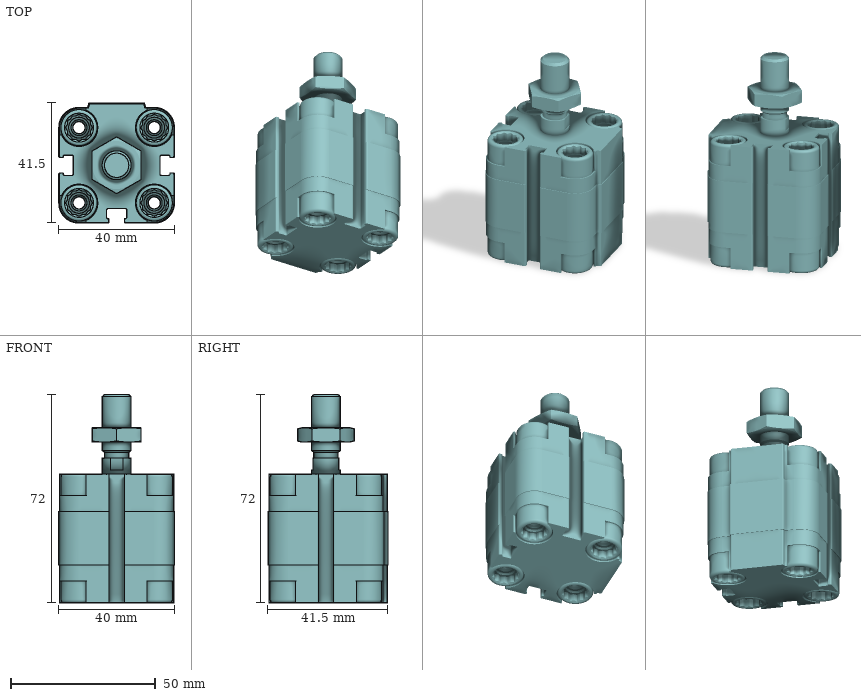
import cadquery as cq
import math

BODY_HEIGHT = 44.5
CAP_HEIGHT = 13.0
BARREL_HALF_WIDTH = 20.0
CAP_STEP = 0.25
SCREW_OFFSET = 13.0

PAD_HEIGHT = 1.5
PAD_TOP_HALF_WIDTH = 9.6
PAD_BASE_HALF_WIDTH = 10.0
PAD_FILLET = 0.3

SLOT_FLOOR = 15.0
SLOT_LIP_BACK = 18.4
SLOT_WIDTH = 6.9
SLOT_NECK_WIDTH = 5.3
SLOT_MOUTH_RADIUS = 0.5
SLOT_LIP_RADIUS = 0.3
SLOT_CORNER_RADIUS = 0.4
SLOT_TURNS = (-90, 90, 180)

RECESS_DEPTH = 7.5
RECESS_DIAMETER = 13.0
RECESS_CORNER_OFFSET = 2.5
HEAD_DIAMETER = 12.5
HEAD_FILLET = 1.0
SOCKET_WIDTH = 8.1
SOCKET_DEPTH = 3.2
SOCKET_LEAD_DIAMETER = 10.0
SOCKET_LEAD_ANGLE = 30.0
FLOOR_DIAMETER = 7.2
FLOOR_DEPTH = 4.15
THREAD_DIAMETER = 4.13
THREAD_LEAD_DIAMETER = 5.5

ROD_DIAMETER = 10.0
ROD_PROJECTION = 27.5
ROD_INSERTION = CAP_HEIGHT
ROD_CHAMFER = 0.8
SHOULDER_HEIGHT = 5.5
UNDERCUT_TOP = 7.5
THREAD_START = 8.1
UNDERCUT_DIAMETER = 8.47
FLAT_WIDTH = 9.0
FLAT_START = 1.4

NUT_WIDTH = 17.0
NUT_HEIGHT = 5.0
NUT_START = 11.0
NUT_CHAMFER_DIAMETER = 16.6
NUT_CHAMFER_ANGLE = 15.0

HEX_CORNER_RATIO = 1 / math.cos(math.radians(30))


def hexagon_prism(width, height, turn):
    """Hexagonal prism of the given width across flats, standing on Z = 0, turned about Z."""
    prism = cq.Workplane("XY").polygon(6, width * HEX_CORNER_RATIO).extrude(height)
    return prism.rotate((0, 0, 0), (0, 0, 1), turn)


def slot_cutter(half_width, height):
    """T-slot on the +Y side with rounded mouth edges and corners."""
    neck = SLOT_NECK_WIDTH / 2
    wide = SLOT_WIDTH / 2
    mouth = SLOT_MOUTH_RADIUS
    lip = SLOT_LIP_RADIUS
    corner = SLOT_CORNER_RADIUS
    half = (
        cq.Workplane("XY")
        .moveTo(0, half_width)
        .lineTo(neck + mouth, half_width)
        .radiusArc((neck, half_width - mouth), -mouth)
        .lineTo(neck, SLOT_LIP_BACK + lip)
        .radiusArc((neck + lip, SLOT_LIP_BACK), -lip)
        .lineTo(wide - corner, SLOT_LIP_BACK)
        .radiusArc((wide, SLOT_LIP_BACK - corner), corner)
        .lineTo(wide, SLOT_FLOOR + corner)
        .radiusArc((wide - corner, SLOT_FLOOR), corner)
        .lineTo(0, SLOT_FLOOR)
        .mirrorY()
    )
    return half.extrude(height)


def housing_section(half_width, bottom, height):
    """Length of the housing profile: rounded square, pad on +Y, three T-slots."""
    section = (
        cq.Workplane("XY")
        .rect(2 * half_width, 2 * half_width)
        .extrude(height)
        .edges("|Z")
        .fillet(half_width - SCREW_OFFSET)
    )
    inset = BARREL_HALF_WIDTH - half_width
    pad_top = half_width + PAD_HEIGHT
    pad = (
        cq.Workplane("XY")
        .polyline([
            (-PAD_BASE_HALF_WIDTH + inset, SLOT_FLOOR),
            (-PAD_BASE_HALF_WIDTH + inset, half_width),
            (-PAD_TOP_HALF_WIDTH + inset, pad_top),
            (PAD_TOP_HALF_WIDTH - inset, pad_top),
            (PAD_BASE_HALF_WIDTH - inset, half_width),
            (PAD_BASE_HALF_WIDTH - inset, SLOT_FLOOR),
        ])
        .close()
        .extrude(height)
    )
    section = section.union(pad)
    pad_flank_box = cq.selectors.BoxSelector(
        (-PAD_BASE_HALF_WIDTH, half_width - PAD_FILLET, 0),
        (PAD_BASE_HALF_WIDTH, pad_top + PAD_FILLET, height),
    )
    section = section.edges(pad_flank_box).edges("|Z").fillet(PAD_FILLET)
    for turn in SLOT_TURNS:
        section = section.cut(slot_cutter(half_width, height).rotate((0, 0, 0), (0, 0, 1), turn))
    return section.translate((0, 0, bottom))


def corner_recess():
    """Recess at the +X +Y corner of the top end, open to the outside."""
    bottom = BODY_HEIGHT - RECESS_DEPTH
    bore = cq.Workplane("XY").circle(RECESS_DIAMETER / 2).extrude(RECESS_DEPTH)
    corner = (
        cq.Workplane("XY")
        .rect(RECESS_DIAMETER, RECESS_DIAMETER, centered=False)
        .extrude(RECESS_DEPTH)
        .translate((-RECESS_CORNER_OFFSET, -RECESS_CORNER_OFFSET, 0))
    )
    return bore.union(corner).translate((SCREW_OFFSET, SCREW_OFFSET, bottom))


def screw_socket():
    """Twelve-point socket with lead-in cone, round floor and countersink, opening at Z = 0."""
    points = hexagon_prism(SOCKET_WIDTH, SOCKET_DEPTH, 0)
    points = points.union(hexagon_prism(SOCKET_WIDTH, SOCKET_DEPTH, 30))
    lead_radius = SOCKET_LEAD_DIAMETER / 2
    lead_depth = lead_radius * math.tan(math.radians(SOCKET_LEAD_ANGLE))
    lead = cq.Workplane(cq.Solid.makeCone(0, lead_radius, lead_depth)).translate((0, 0, -lead_depth))
    floor = cq.Workplane("XY").circle(FLOOR_DIAMETER / 2).extrude(-FLOOR_DEPTH)
    sink_depth = (THREAD_LEAD_DIAMETER - THREAD_DIAMETER) / 2
    sink = cq.Workplane(
        cq.Solid.makeCone(THREAD_DIAMETER / 2, THREAD_LEAD_DIAMETER / 2, sink_depth)
    ).translate((0, 0, -FLOOR_DEPTH - sink_depth))
    return points.translate((0, 0, -SOCKET_DEPTH)).union(lead).union(floor).union(sink)


def screw_head():
    """Screw head at the +X +Y corner of the top end, standing on the recess floor."""
    head = (
        cq.Workplane("XY")
        .circle(HEAD_DIAMETER / 2)
        .extrude(-RECESS_DEPTH)
        .faces(">Z")
        .edges()
        .fillet(HEAD_FILLET)
        .cut(screw_socket())
    )
    return head.translate((SCREW_OFFSET, SCREW_OFFSET, BODY_HEIGHT))


def at_all_corners(top_corner):
    """Copies of a +X +Y top corner shape at the four corners of both ends."""
    bottom_corner = top_corner.mirror("XY").translate((0, 0, BODY_HEIGHT))
    return [
        end.rotate((0, 0, 0), (0, 0, 1), 90 * quarter)
        for end in (top_corner, bottom_corner)
        for quarter in range(4)
    ]


def make_housing():
    cap_half_width = BARREL_HALF_WIDTH - CAP_STEP
    body = housing_section(cap_half_width, 0, BODY_HEIGHT)
    body = body.union(housing_section(BARREL_HALF_WIDTH, CAP_HEIGHT, BODY_HEIGHT - 2 * CAP_HEIGHT))
    for recess in at_all_corners(corner_recess()):
        body = body.cut(recess)
    for head in at_all_corners(screw_head()):
        body = body.union(head)
    screw_holes = (
        cq.Workplane("XY")
        .rect(2 * SCREW_OFFSET, 2 * SCREW_OFFSET, forConstruction=True)
        .vertices()
        .circle(THREAD_DIAMETER / 2)
        .extrude(BODY_HEIGHT)
    )
    rod_bore = (
        cq.Workplane("XY", origin=(0, 0, BODY_HEIGHT))
        .circle(ROD_DIAMETER / 2)
        .extrude(-ROD_INSERTION)
    )
    return body.cut(screw_holes).cut(rod_bore)


def make_rod():
    radius = ROD_DIAMETER / 2
    neck = UNDERCUT_DIAMETER / 2
    rod = (
        cq.Workplane("XZ")
        .polyline([
            (0, -ROD_INSERTION),
            (radius, -ROD_INSERTION),
            (radius, SHOULDER_HEIGHT),
            (neck, SHOULDER_HEIGHT),
            (neck, UNDERCUT_TOP),
            (radius, THREAD_START),
            (radius, ROD_PROJECTION - ROD_CHAMFER),
            (radius - ROD_CHAMFER, ROD_PROJECTION),
            (0, ROD_PROJECTION),
        ])
        .close()
        .revolve(360, (0, 0, 0), (0, 1, 0))
    )
    for side in (-1, 1):
        flat = (
            cq.Workplane("XY", origin=(0, side * (FLAT_WIDTH + ROD_DIAMETER) / 2, FLAT_START))
            .rect(ROD_DIAMETER, ROD_DIAMETER)
            .extrude(SHOULDER_HEIGHT - FLAT_START)
        )
        rod = rod.cut(flat)
    return rod.translate((0, 0, BODY_HEIGHT))


def make_nut():
    """Hexagon nut with flats facing -X and +X, chamfered on both faces."""
    corner_radius = NUT_WIDTH * HEX_CORNER_RATIO / 2
    face_radius = NUT_CHAMFER_DIAMETER / 2
    drop = (corner_radius - face_radius) * math.tan(math.radians(NUT_CHAMFER_ANGLE))
    chamfered_blank = (
        cq.Workplane("XZ")
        .polyline([
            (0, 0),
            (face_radius, 0),
            (corner_radius, drop),
            (corner_radius, NUT_HEIGHT - drop),
            (face_radius, NUT_HEIGHT),
            (0, NUT_HEIGHT),
        ])
        .close()
        .revolve(360, (0, 0, 0), (0, 1, 0))
    )
    bore = cq.Workplane("XY").circle(ROD_DIAMETER / 2).extrude(NUT_HEIGHT)
    nut = hexagon_prism(NUT_WIDTH, NUT_HEIGHT, 30).intersect(chamfered_blank).cut(bore)
    return nut.translate((0, 0, BODY_HEIGHT + NUT_START))


housing = make_housing()
rod = make_rod()
nut = make_nut()

result = cq.Compound.makeCompound([body.solids().val() for body in (housing, rod, nut)])